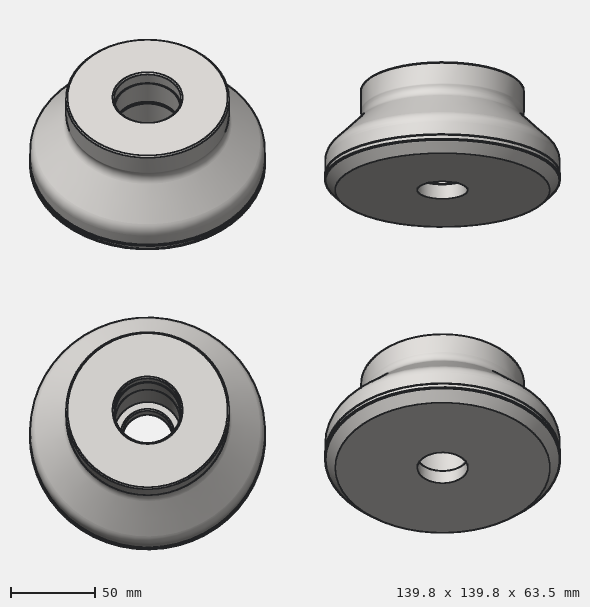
import cadquery as cq
import math

height = 63.5
joint_z = 9.9

collar_radius = 48.4
edge_chamfer = 1.0
collar_round = 2.0
neck_radius = 47.8
neck_fillet = 7.0
cap_radius = 69.6
shoulder_z = 17.9
shoulder_fillet = 9.8

bore_radius = 19.9
bore_depth = 8.3
throat_radius = 19.3
flare_z = 39.9
flare_height = 2.8
flare_radius = 20.7
cavity_radius = 20.1

base_radius = 69.9
base_top_chamfer = 0.7
base_bottom_radius = 63.6
base_fillet = 3.0
base_hole_radius = 15.0
groove_z = 6.6
groove_width = 0.7
groove_floor_radius = 69.2

SIN_45 = math.sqrt(0.5)


def polar_point(centre, radius, angle):
    """Point on a circle in the (r, z) half-plane; angle in radians."""
    return (centre[0] + radius * math.cos(angle), centre[1] + radius * math.sin(angle))


def revolve_profile(profile):
    """Full turn of a closed (r, z) profile about Z."""
    return profile.close().revolve(360, (0, 0, 0), (0, 1, 0))


def make_cap():
    shoulder_centre = (cap_radius - shoulder_fillet, shoulder_z)
    cone_sum = sum(shoulder_centre) + shoulder_fillet / SIN_45
    neck_centre_r = neck_radius + neck_fillet
    neck_centre = (neck_centre_r, cone_sum + neck_fillet / SIN_45 - neck_centre_r)

    round_centre_r = collar_radius - collar_round
    centre_gap_r = neck_centre_r - round_centre_r
    blend_angle = math.acos(centre_gap_r / (neck_fillet + collar_round))
    collar_z = neck_centre[1] + centre_gap_r * math.tan(blend_angle)
    round_centre = (round_centre_r, collar_z)

    bore_z = height - bore_depth
    ledge_z = flare_z - flare_height
    profile = (
        cq.Workplane("XZ")
        .moveTo(cavity_radius, joint_z)
        .lineTo(cap_radius, joint_z)
        .lineTo(cap_radius, shoulder_z)
        .threePointArc(
            polar_point(shoulder_centre, shoulder_fillet, math.pi / 8),
            polar_point(shoulder_centre, shoulder_fillet, math.pi / 4),
        )
        .lineTo(*polar_point(neck_centre, neck_fillet, 5 * math.pi / 4))
        .threePointArc(
            (neck_radius, neck_centre[1]),
            polar_point(neck_centre, neck_fillet, math.pi - blend_angle),
        )
        .threePointArc(
            polar_point(round_centre, collar_round, -blend_angle / 2),
            (collar_radius, collar_z),
        )
        .lineTo(collar_radius, height - edge_chamfer)
        .lineTo(collar_radius - edge_chamfer, height)
        .lineTo(bore_radius + edge_chamfer, height)
        .lineTo(bore_radius, height - edge_chamfer)
        .lineTo(bore_radius, bore_z)
        .lineTo(throat_radius, bore_z)
        .lineTo(throat_radius, flare_z)
        .lineTo(flare_radius, ledge_z)
        .lineTo(cavity_radius, ledge_z)
    )
    return revolve_profile(profile)


def make_base_groove():
    return (
        cq.Workplane("XY", origin=(0, 0, groove_z - groove_width / 2))
        .circle(base_radius)
        .circle(groove_floor_radius)
        .extrude(groove_width)
    )


def make_base():
    fillet_centre_r = base_radius - base_fillet
    fillet_centre = (fillet_centre_r, fillet_centre_r - base_bottom_radius + base_fillet / SIN_45)
    profile = (
        cq.Workplane("XZ")
        .moveTo(base_hole_radius, 0)
        .lineTo(base_bottom_radius, 0)
        .lineTo(*polar_point(fillet_centre, base_fillet, -math.pi / 4))
        .threePointArc(
            polar_point(fillet_centre, base_fillet, -math.pi / 8),
            (base_radius, fillet_centre[1]),
        )
        .lineTo(base_radius, joint_z - base_top_chamfer)
        .lineTo(base_radius - base_top_chamfer, joint_z)
        .lineTo(base_hole_radius + edge_chamfer, joint_z)
        .lineTo(base_hole_radius, joint_z - edge_chamfer)
    )
    return revolve_profile(profile).cut(make_base_groove())


cap = make_cap()
base = make_base()
result = cq.Compound.makeCompound([cap.val(), base.val()])